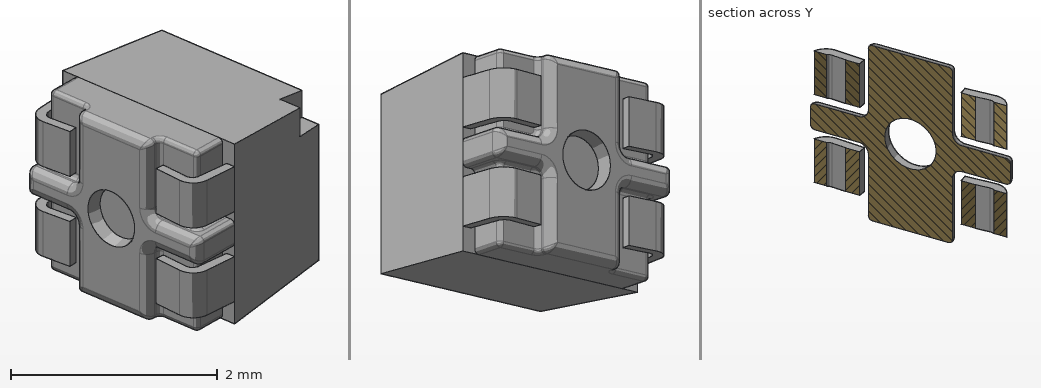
import cadquery as cq
import math


WIDTH = 2.2
HEIGHT = 2.0
BASE_DEPTH = 0.55
HOUSING_DEPTH = 1.35
DRAFT = 4.0
SLOPE = math.tan(math.radians(DRAFT))

SMALL_RADIUS = 0.05
LARGE_RADIUS = 2 * SMALL_RADIUS

BLOCK_WIDTH = 1.896
BLOCK_DEPTH = 0.375
CORE_WIDTH = 0.93
RIB_HEIGHT = 0.3

TOLERANCE = 0.0002

RECESS_RADIUS = 0.3
RECESS_FLOOR_RADIUS = 0.273
RECESS_DEPTH = 0.15

LEAD_HEIGHT = 0.5
LEAD_THICKNESS = 0.1
LEAD_INNER_RADIUS = 0.088
LEAD_OUTER_RADIUS = LEAD_INNER_RADIUS + LEAD_THICKNESS
LEAD_CORNER_DEPTH = 0.56
FOOT_LENGTH = 0.51
LEAD_CENTRE_Z = HEIGHT / 4

NOTCH_WIDTH = 0.213
NOTCH_DEPTH = 0.3
NOTCH_HEIGHT = NOTCH_DEPTH


def plate(width, depth, height):
    """Box centred on X and Z that reaches from Y = 0 to Y = -depth."""
    return cq.Workplane("XZ").rect(width, height).extrude(depth)


def make_housing():
    """Tapered box that narrows towards the back, with one notched corner."""
    body = cq.Workplane("XZ").rect(WIDTH, HEIGHT).extrude(-HOUSING_DEPTH, taper=DRAFT)

    back_x = WIDTH / 2 - HOUSING_DEPTH * SLOPE - NOTCH_WIDTH
    front_x = back_x - NOTCH_DEPTH * SLOPE
    front_y = HOUSING_DEPTH - NOTCH_DEPTH
    back_z = HEIGHT / 2 - HOUSING_DEPTH * SLOPE
    notch = (
        cq.Workplane("XY", origin=(0, 0, back_z - NOTCH_HEIGHT))
        .moveTo(back_x, HOUSING_DEPTH)
        .lineTo(front_x, front_y)
        .lineTo(WIDTH / 2, front_y)
        .lineTo(WIDTH / 2, HOUSING_DEPTH)
        .close()
        .extrude(HEIGHT)
    )
    return body.cut(notch)


def make_base():
    """Block with a raised, rounded cross on its -Y face and a recess in the middle."""
    core = plate(CORE_WIDTH, BASE_DEPTH, HEIGHT)
    rib = plate(WIDTH, BASE_DEPTH, RIB_HEIGHT)
    cross = core.union(rib)
    cross = cross.edges("|Y").filter(is_inner_corner).fillet(LARGE_RADIUS)
    cross = cross.faces("<Y").edges().fillet(LARGE_RADIUS)

    body = cross.union(plate(BLOCK_WIDTH, BLOCK_DEPTH, HEIGHT))
    body = body.edges().filter(is_small_edge).fillet(SMALL_RADIUS)

    recess = (
        cq.Workplane("XZ", origin=(0, -BASE_DEPTH, 0))
        .circle(RECESS_RADIUS)
        .workplane(offset=-RECESS_DEPTH)
        .circle(RECESS_FLOOR_RADIUS)
        .loft()
    )
    return body.cut(recess)


def is_inner_corner(edge):
    """Where the core meets the rib."""
    centre = edge.Center()
    return abs(centre.x) < WIDTH / 4 and abs(centre.z) < HEIGHT / 4


def is_small_edge(edge):
    """Outer corners along Y, and the whole outline of the block's -Y face."""
    box = edge.BoundingBox()
    centre = edge.Center()
    on_block_face = abs(centre.y + BLOCK_DEPTH) < TOLERANCE and box.ylen < TOLERANCE
    along_y = box.xlen < TOLERANCE and box.zlen < TOLERANCE
    outside = abs(centre.x) > WIDTH / 3 or abs(centre.z) > HEIGHT / 3
    return on_block_face or (along_y and outside)


def nearest(x, y, z):
    """Selector for the edge whose middle is nearest to a point."""
    return cq.selectors.NearestToPointSelector((x, y, z))


def make_lead(side, centre_z):
    """L-shaped strip whose leg leans inwards and whose foot rises towards its tip.

    It is drawn for the +X side (side = 1) and mirrored for the -X side (side = -1).
    """
    lean = math.radians(DRAFT)
    outer_x = WIDTH / 2 - SLOPE * LEAD_CORNER_DEPTH
    outer_y = -LEAD_CORNER_DEPTH
    tip_x = outer_x - FOOT_LENGTH * math.cos(lean)
    tip_y = outer_y + FOOT_LENGTH * math.sin(lean)

    diagonal = LEAD_THICKNESS / math.sin(math.pi / 4 - lean)
    inset = diagonal * math.sqrt(0.5)

    outline = [
        (WIDTH / 2, 0),
        (outer_x, outer_y),
        (tip_x, tip_y),
        (tip_x + LEAD_THICKNESS * math.sin(lean), tip_y + LEAD_THICKNESS * math.cos(lean)),
        (outer_x - inset, outer_y + inset),
        (WIDTH / 2 - LEAD_THICKNESS / math.cos(lean), 0),
    ]
    strip = (
        cq.Workplane("XY", origin=(0, 0, centre_z))
        .polyline([(side * x, y) for x, y in outline])
        .close()
        .extrude(LEAD_HEIGHT / 2, both=True)
    )
    strip = strip.edges("|Z").edges(nearest(side * outer_x, outer_y, centre_z)).fillet(LEAD_OUTER_RADIUS)
    inner_bend = nearest(side * (outer_x - inset), outer_y + inset, centre_z)
    return strip.edges("|Z").edges(inner_bend).fillet(LEAD_INNER_RADIUS)


housing = make_housing()
base = make_base()
leads = []
for lead_side in (-1, 1):
    for lead_z in (-LEAD_CENTRE_Z, LEAD_CENTRE_Z):
        leads.append(make_lead(lead_side, lead_z).val())

result = cq.Compound.makeCompound([housing.val(), base.val(), *leads])